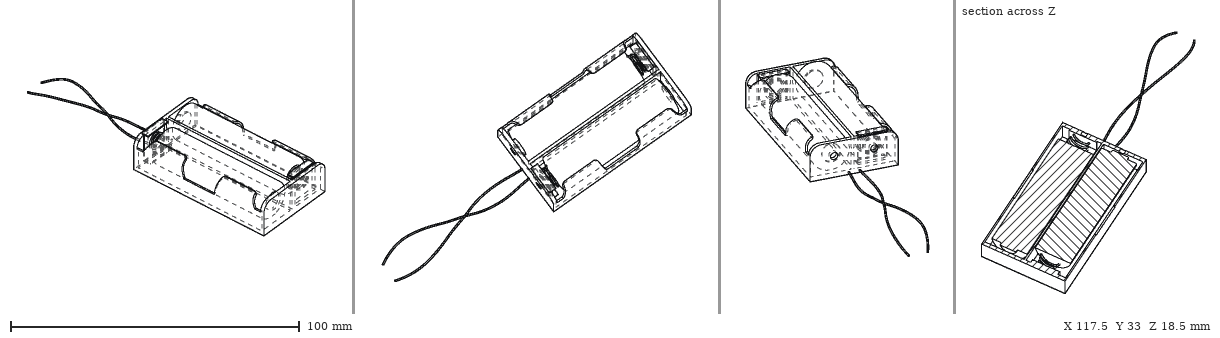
import cadquery as cq
import math


HOLDER_LENGTH = 58.8
HOLDER_WIDTH = 33.0
WALL_TOP = 13.7
END_WALL = 1.5
SIDE_WALL = 0.7
FLOOR = 1.0
SHOULDER_RADIUS = 4.0
RIB_THICKNESS = 1.0
SHOULDER_Z = WALL_TOP - SHOULDER_RADIUS
SHOULDER_Y = HOLDER_WIDTH / 2 - SHOULDER_RADIUS
BAY_LENGTH = HOLDER_LENGTH - 2 * END_WALL

CLIP_END_BOTTOM = 4.1
CLIP_END_TOP = 6.6
CLIP_CORNER_RADIUS = 1.2
CLIP_CORNER_DEPTH = 1.8
NOTCH_BOTTOM_Z = 7.0
NOTCH_BOTTOM_WIDTH = 13.6
NOTCH_TOP_WIDTH = 16.7

CELL_RADIUS = 7.1
CELL_Y = 7.5
CELL_Z = 8.3
CELL_LENGTH = 48.3
CELL_EDGE_RADIUS = 0.5
NUB_RADIUS = 3.4
NUB_LENGTH = 1.0
NUB_EDGE_RADIUS = 0.5
BORE_CLEARANCE = 0.06
LEFT_NUB_GAP = 0.5
RIGHT_NUB_GAP = 1.2
END_HOLE_DIAMETER = 2.7

CONTACT_WIDTH = 10.8
SHEET = 0.5
CONTACT_BASE_Z = 2.3
LEFT_FLANGE_START = 0.7
LEFT_FLANGE_END = 3.5
LEFT_FLANGE_TOP = 14.2
LEFT_FOOT_END = 4.6
RIGHT_FLANGE_START = 2.3
RIGHT_FLANGE_END = 4.9
RIGHT_FLANGE_TOP = 13.6
SPRING_WIRE = 0.6
SPRING_BASE_RADIUS = 3.0
SPRING_TIP_RADIUS = 4.2
SPRING_TURNS = 3
SPRING_GAP = 0.1

LEAD_DIAMETER = 0.6
CROSSING_RISE = 0.4
LEAD_PATH = [
    (-58.5, 3.5, -2.8),
    (-53.2, 5.4, 0.1),
    (-48.5, 5.9, 2.0),
    (-43.2, 5.2, 2.8),
    (-38.0, 3.8, 2.9),
    (-31.9, 1.6, 2.5),
    (-26.3, 0.0, 1.8),
    (-20.7, -1.8, 1.0),
    (-15.5, -2.7, 0.5),
    (-10.7, -2.9, 0.4),
    (-5.9, -2.6, 0.6),
    (0.6, -2.0, 0.9),
]


def box(x_range, y_range, z_range):
    """Axis-aligned box given by its limits along X, Y and Z."""
    size = [high - low for low, high in (x_range, y_range, z_range)]
    corner = (x_range[0], y_range[0], z_range[0])
    return cq.Workplane("XY").box(*size, centered=False).translate(corner)


def cell_cylinder(radius, length, start_x, side):
    """Cylinder on a cell axis; side is +1 or -1 along Y."""
    axis_start = (start_x, side * CELL_Y, CELL_Z)
    return cq.Workplane("YZ", origin=axis_start).circle(radius).extrude(length)


def shell():
    """Rounded block hollowed into two bays, open at the top between the shoulders."""
    body = box((0, HOLDER_LENGTH), (-HOLDER_WIDTH / 2, HOLDER_WIDTH / 2), (0, WALL_TOP))
    body = body.edges("|X and >Z").fillet(SHOULDER_RADIUS)
    bay_x = (END_WALL, HOLDER_LENGTH - END_WALL)
    for side in (1, -1):
        inner_y = side * RIB_THICKNESS / 2
        outer_y = side * (HOLDER_WIDTH / 2 - SIDE_WALL)
        bay = box(bay_x, sorted((inner_y, outer_y)), (FLOOR, WALL_TOP - SIDE_WALL))
        outer_edge = "|X and >Z and >Y" if side > 0 else "|X and >Z and <Y"
        bay = bay.edges(outer_edge).fillet(SHOULDER_RADIUS - SIDE_WALL)
        mouth = box(bay_x, sorted((inner_y, side * SHOULDER_Y)), (CELL_Z, WALL_TOP))
        bore = cell_cylinder(CELL_RADIUS + BORE_CLEARANCE, BAY_LENGTH, END_WALL, side)
        body = body.cut(bay).cut(mouth).cut(bore)
    return body


def side_openings():
    """Cutters for the middle notch and the two end openings in each side wall."""
    middle = HOLDER_LENGTH / 2
    outlines = [
        [
            (middle - NOTCH_BOTTOM_WIDTH / 2, NOTCH_BOTTOM_Z),
            (middle + NOTCH_BOTTOM_WIDTH / 2, NOTCH_BOTTOM_Z),
            (middle + NOTCH_TOP_WIDTH / 2, WALL_TOP),
            (middle - NOTCH_TOP_WIDTH / 2, WALL_TOP),
        ]
    ]
    left_end = [
        (END_WALL, SHOULDER_Z),
        (CLIP_END_BOTTOM, SHOULDER_Z),
        (CLIP_END_TOP, WALL_TOP),
        (END_WALL, WALL_TOP),
    ]
    outlines.append(left_end)
    outlines.append([(HOLDER_LENGTH - x, z) for x, z in left_end])
    depth = HOLDER_WIDTH / 2 - SHOULDER_Y
    cutters = cq.Workplane("XY")
    for outline in outlines:
        for start_y in (HOLDER_WIDTH / 2, -SHOULDER_Y):
            plane = cq.Workplane("XZ", origin=(0, start_y, 0))
            cutters = cutters.add(plane.polyline(outline).close().extrude(depth))
    return cutters.vals()


def clip_corner_cutters():
    """Cutters that round the free corner of each clip, running along its slanted end."""
    middle = HOLDER_LENGTH / 2
    end_lean = (CLIP_END_TOP - CLIP_END_BOTTOM) / (WALL_TOP - SHOULDER_Z)
    notch_lean = (NOTCH_TOP_WIDTH - NOTCH_BOTTOM_WIDTH) / 2 / (WALL_TOP - NOTCH_BOTTOM_Z)
    corners = []
    for mirror in (1, -1):
        corners.append((middle - mirror * (middle - CLIP_END_TOP), mirror, end_lean))
        corners.append((middle + mirror * NOTCH_TOP_WIDTH / 2, mirror, notch_lean))

    radius = CLIP_CORNER_RADIUS
    near_arc = radius * (1 - math.sqrt(0.5))
    cutters = []
    for corner_x, into_clip, lean in corners:
        slant = cq.Vector(-into_clip * lean, 0, -1) * CLIP_CORNER_DEPTH
        for side in (1, -1):
            corner = cq.Workplane("XY", origin=(corner_x, side * SHOULDER_Y, WALL_TOP))
            outline = (
                corner.lineTo(into_clip * radius, 0)
                .threePointArc((into_clip * near_arc, side * near_arc), (0, side * radius))
                .close()
            )
            cutters.append(cq.Solid.extrudeLinear(outline.val(), [], slant))
    return cutters


def lead_end_holes():
    """Cutters for the two round holes through the lead-side end wall, on the cell axes."""
    return [cell_cylinder(END_HOLE_DIAMETER / 2, END_WALL, 0, side) for side in (1, -1)]


def contact_sheet(x_range, z_range, side):
    """Flat piece of a spring contact, as wide as the contact."""
    center_y = side * CELL_Y
    y_range = (center_y - CONTACT_WIDTH / 2, center_y + CONTACT_WIDTH / 2)
    return box(x_range, y_range, z_range)


def left_contact():
    """Channel on the lead-side wall whose upper flange rests on the wall top."""
    leg = contact_sheet((END_WALL, END_WALL + SHEET), (CONTACT_BASE_Z, LEFT_FLANGE_TOP), -1)
    flange = contact_sheet((LEFT_FLANGE_START, LEFT_FLANGE_END), (WALL_TOP, LEFT_FLANGE_TOP), -1)
    foot = contact_sheet((END_WALL, LEFT_FOOT_END), (CONTACT_BASE_Z, CONTACT_BASE_Z + SHEET), -1)
    return leg.union(flange).union(foot)


def right_contact():
    """Leg on the far end wall carrying a flange just below the wall top."""
    wall_x = HOLDER_LENGTH - END_WALL
    flange_start = HOLDER_LENGTH - RIGHT_FLANGE_END
    flange_end = HOLDER_LENGTH - RIGHT_FLANGE_START
    flange_base = RIGHT_FLANGE_TOP - SHEET
    leg = contact_sheet((flange_end - SHEET, wall_x), (CONTACT_BASE_Z, flange_base), 1)
    flange = contact_sheet((flange_start, flange_end), (flange_base, RIGHT_FLANGE_TOP), 1)
    return leg.union(flange)


def spring(base_x, tip_x, side):
    """Conical wire coil on a cell axis, widening from its contact to the cell."""
    height = abs(tip_x - base_x)
    cone_angle = math.degrees(math.atan2(SPRING_TIP_RADIUS - SPRING_BASE_RADIUS, height))
    pitch = height / SPRING_TURNS
    direction = cq.Vector(math.copysign(1, tip_x - base_x), 0, 0)
    helix = cq.Wire.makeHelix(pitch, height, SPRING_BASE_RADIUS, angle=cone_angle)
    start = cq.Workplane("XZ", origin=(SPRING_BASE_RADIUS, 0, 0)).circle(SPRING_WIRE / 2)
    coil = start.sweep(cq.Workplane(obj=helix), isFrenet=True)
    axis = cq.Plane(origin=(base_x, side * CELL_Y, CELL_Z), xDir=(0, 1, 0), normal=direction)
    return cq.Workplane(obj=coil.val().moved(cq.Location(axis)))


def lead(side):
    """Lead wire swept along its centre line; side -1 mirrors it in Y."""
    points = []
    for x, y, z in LEAD_PATH:
        rise = side * CROSSING_RISE if y == 0 else 0
        points.append(cq.Vector(x, side * y, z + rise))
    path = cq.Workplane(obj=cq.Edge.makeSpline(points))
    end_plane = cq.Plane(origin=points[0], normal=path.val().tangentAt(0))
    return cq.Workplane(end_plane).circle(LEAD_DIAMETER / 2).sweep(path)


def cell_start(side):
    """X where the cell's casing begins: its nub points to -X for side +1, to +X for -1."""
    if side > 0:
        return END_WALL + LEFT_NUB_GAP + NUB_LENGTH
    return HOLDER_LENGTH - END_WALL - RIGHT_NUB_GAP - NUB_LENGTH - CELL_LENGTH


def build_holder():
    """Holder shell with its contacts, springs and leads as one solid."""
    holder = shell()
    for cutter in side_openings() + clip_corner_cutters() + lead_end_holes():
        holder = holder.cut(cutter)
    holder = holder.union(left_contact()).union(right_contact())

    tip_offset = SPRING_WIRE / 2 + SPRING_GAP
    left_tip = cell_start(-1) - tip_offset
    right_tip = cell_start(1) + CELL_LENGTH + tip_offset
    holder = holder.union(spring(END_WALL + SHEET, left_tip, -1))
    holder = holder.union(spring(HOLDER_LENGTH - RIGHT_FLANGE_START - SHEET, right_tip, 1))

    for side in (1, -1):
        holder = holder.union(lead(side))
    return holder


def build_cell(side):
    """Cell with a rounded casing and a positive nub."""
    start_x = cell_start(side)
    casing = cell_cylinder(CELL_RADIUS, CELL_LENGTH, start_x, side)
    casing = casing.edges().fillet(CELL_EDGE_RADIUS)
    nub_start = start_x - NUB_LENGTH if side > 0 else start_x + CELL_LENGTH
    nub = cell_cylinder(NUB_RADIUS, NUB_LENGTH, nub_start, side)
    nub = nub.faces("<X" if side > 0 else ">X").edges().fillet(NUB_EDGE_RADIUS)
    return casing.union(nub)


holder = build_holder()
cells = [build_cell(side) for side in (1, -1)]

result = cq.Compound.makeCompound([holder.val(), *[cell.val() for cell in cells]])